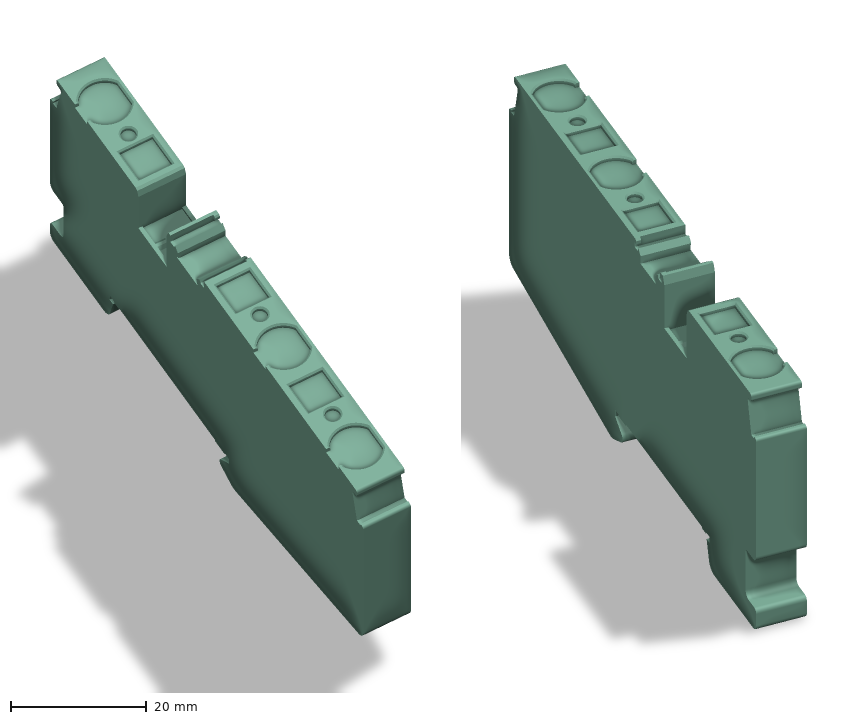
import cadquery as cq
length = 90.5
thickness = 8.1
height = 42.1

shoulder_z = 35.1
shoulder_width = 0.8
shoulder_radius = 0.45
ledge_z = 34.75
lip_inset = 1.8
lip_height = 1.4
lip_undercut_x = 3.3
lip_radius = 0.45

slot_left = 25.5
slot_right = 33.7
slot_floor_z = 32.85
slot_bevel_height = 1.4
slot_left_bevel = 0.8
slot_right_bevel = 0.5
crown_width = 0.45
crown_height = 0.3

groove_center = 39.6
groove_floor_z = 38.8
groove_half_width = 2.7
rebate_half_width = 4.9
rebate_z = 40.45
ridge_foot = 3.8
ridge_peak = 3.5
ridge_z = 41.1
wall_top_z = 40.2
relief_width = 0.3
relief_height = 1.1
relief_depth = 0.1
catch_depth = 0.5
catch_height = 0.8
catch_bevel = 0.3
catch_length = 0.8

notch_depth = 3.9
notch_bottom_z = 4.0
notch_top_z = 12.6
foot_right = 16.9
foot_tip = (18.2, 4.8)
heel_radius = 2.0
foot_radius = 1.1
toe_radius = 0.7
notch_floor_radius = 1.1
notch_roof_radius = 0.45
notch_edge_radius = 1.1

rail_left = 17.2
rail_right = 51.7
rail_z = 5.9
pad_z = 5.6
pad_inset = 1.3
left_pad_width = 1.4
right_pad_width = 2.7

nose_top_z = 4.7
nose_tip = (48.1, 2.1)
slope_start = (52.85, -0.1)
slope_end_z = 7.0
nose_radius = 0.9
slope_radius = 2.35
slope_end_radius = 1.8

clamp_inset = 9.0
clamp_pitch = 21.0
recess_depth = 0.8
rim_chamfer = 0.3
driver_radius = 4.0
driver_half_depth = 3.35
outlet_width = 3.5
test_offset = 6.8
test_radius = 1.2
wire_offset = 11.8
wire_side = 5.7

pocket_depth = 0.45
pocket_margin = 0.68
web_thickness = 0.5
gusset_length = 0.5
gusset_width = 1.9


def mirror_x(points, center):
    """Mirror a run of outline points and keep the direction of travel."""
    return [(2 * center - x, z) for x, z in reversed(points)]


def extrude_profile(points, y_start, y_end):
    """Solid with an X-Z outline spanning y_start to y_end."""
    plane = cq.Workplane("XZ", origin=(0, y_start, 0))
    return plane.polyline(points).close().extrude(y_start - y_end)


def make_body():
    """Full-thickness body: the side outline with its rounded corners."""
    left_end = [
        (0, notch_top_z),
        (0, shoulder_z),
        (shoulder_width, shoulder_z),
        (shoulder_width, ledge_z),
        (lip_inset, ledge_z),
        (lip_undercut_x, height - lip_height),
        (lip_inset, height - lip_height),
        (lip_inset, height),
    ]
    slot_crown_x = slot_left - slot_left_bevel
    slot = [
        (slot_crown_x, height),
        (slot_crown_x + crown_width, height - crown_height),
        (slot_left, height - slot_bevel_height),
        (slot_left, slot_floor_z),
        (slot_right, slot_floor_z),
        (slot_right, height - slot_bevel_height),
        (slot_right + slot_right_bevel, height),
    ]
    groove_left = [
        (groove_center - rebate_half_width, height),
        (groove_center - rebate_half_width, rebate_z),
        (groove_center - ridge_foot, rebate_z),
        (groove_center - ridge_peak, ridge_z),
        (groove_center - groove_half_width, wall_top_z),
        (groove_center - groove_half_width, groove_floor_z),
    ]
    right_end = mirror_x(left_end[1:], length / 2)
    underside = [
        (length, slope_end_z),
        slope_start,
        nose_tip,
        (rail_right, nose_top_z),
        (rail_right, rail_z),
        (rail_right - pad_inset, rail_z),
        (rail_right - pad_inset, pad_z),
        (rail_right - pad_inset - right_pad_width, pad_z),
        (rail_right - pad_inset - right_pad_width, rail_z),
        (rail_left + pad_inset + left_pad_width, rail_z),
        (rail_left + pad_inset + left_pad_width, pad_z),
        (rail_left + pad_inset, pad_z),
        (rail_left + pad_inset, rail_z),
        (rail_left, rail_z),
        (rail_left, foot_tip[1]),
        foot_tip,
        (foot_right, 0),
        (0, 0),
        (0, notch_bottom_z),
        (notch_depth, notch_bottom_z),
        (notch_depth, notch_top_z),
    ]
    outline = left_end + slot + groove_left + mirror_x(groove_left, groove_center)
    outline += right_end + underside
    body = extrude_profile(outline, 0, thickness)
    rounded_corners = [
        (slope_start, slope_radius),
        (nose_tip, nose_radius),
        ((length, slope_end_z), slope_end_radius),
        ((foot_right, 0), heel_radius),
        ((0, 0), foot_radius),
        ((0, notch_bottom_z), toe_radius),
        ((notch_depth, notch_bottom_z), notch_floor_radius),
        ((notch_depth, notch_top_z), notch_roof_radius),
        ((0, notch_top_z), notch_edge_radius),
        ((0, shoulder_z), shoulder_radius),
        ((length, shoulder_z), shoulder_radius),
    ]
    for corner_x in (lip_inset, length - lip_inset):
        rounded_corners.append(((corner_x, height), lip_radius))
        rounded_corners.append(((corner_x, height - lip_height), lip_radius))
    for corner_x in (lip_undercut_x, length - lip_undercut_x):
        rounded_corners.append(((corner_x, height - lip_height), lip_radius))
    for (x, z), radius in rounded_corners:
        corner = cq.selectors.NearestToPointSelector((x, thickness / 2, z))
        body = body.edges(corner).fillet(radius)
    return body


def with_mirror(solid, center):
    """The solid joined with its mirror image about the plane X = center."""
    return solid.union(solid.mirror("YZ", (center, 0, 0)))


def make_catches():
    """A small overhanging catch at the back of each groove rebate."""
    base_x = groove_center - rebate_half_width
    tip_x = base_x + catch_depth
    profile = [
        (base_x, height),
        (tip_x - catch_bevel, height),
        (tip_x, height - catch_bevel),
        (tip_x, height - catch_height),
        (base_x, height - catch_height),
    ]
    catch = extrude_profile(profile, thickness - catch_length, thickness)
    return with_mirror(catch, groove_center)


def make_wall_reliefs():
    """Shallow reliefs in the front face along both groove walls."""
    wall_x = groove_center - groove_half_width
    profile = [
        (wall_x, groove_floor_z),
        (wall_x, groove_floor_z + relief_height),
        (wall_x - relief_width, groove_floor_z + relief_height),
        (wall_x - relief_width, groove_floor_z),
    ]
    return with_mirror(extrude_profile(profile, 0, relief_depth), groove_center)


def recess_plane(x, depth):
    """Sketch plane centred across the thickness, depth below the top face."""
    return cq.Workplane("XY", origin=(x, thickness / 2, height - depth))


def chamfered_recess(recess):
    """Widen the mouth of a recess by a 45 degree rim."""
    mouth = recess.faces(">Z").wires().toPending().offset2D(rim_chamfer, "intersection")
    return recess.union(mouth.extrude(-rim_chamfer, taper=45))


def driver_recess(x):
    """Round recess with flattened front and back and an outlet to the front face."""
    plane = recess_plane(x, recess_depth)
    flats = plane.rect(2 * driver_radius, 2 * driver_half_depth).extrude(recess_depth)
    disc = plane.circle(driver_radius).extrude(recess_depth).intersect(flats)
    outlet = cq.Workplane("XY").box(
        outlet_width, thickness / 2, recess_depth, centered=(True, False, False)
    )
    return chamfered_recess(disc).union(outlet.translate((x, 0, height - recess_depth)))


def test_recess(x):
    return chamfered_recess(recess_plane(x, recess_depth).circle(test_radius).extrude(recess_depth))


def wire_recess(x):
    square = recess_plane(x, recess_depth).rect(wire_side, wire_side)
    return chamfered_recess(square.extrude(recess_depth))


def make_slot_pockets():
    """Two pockets either side of a thin web with four corner gussets."""
    pocket_floor_z = slot_floor_z - pocket_depth
    pocket_front = pocket_margin
    pocket_back = thickness - pocket_margin
    web_center = (slot_left + slot_right) / 2
    web_left = web_center - web_thickness / 2
    left = extrude_profile(
        [
            (slot_left, slot_floor_z),
            (web_left, slot_floor_z),
            (web_left, pocket_floor_z),
            (slot_left, pocket_floor_z),
        ],
        pocket_front,
        pocket_back,
    )
    gusset = [
        (web_left, slot_floor_z),
        (web_left, pocket_floor_z),
        (web_left - gusset_length, pocket_floor_z),
    ]
    left = left.cut(extrude_profile(gusset, pocket_front, pocket_front + gusset_width))
    left = left.cut(extrude_profile(gusset, pocket_back - gusset_width, pocket_back))
    return with_mirror(left, web_center)


last_clamp_x = length - clamp_inset
clamp_points = [(clamp_inset, 1), (last_clamp_x - clamp_pitch, -1), (last_clamp_x, -1)]

result = make_body().cut(make_wall_reliefs()).union(make_catches())
for clamp_x, side in clamp_points:
    result = result.cut(driver_recess(clamp_x))
    result = result.cut(test_recess(clamp_x + side * test_offset))
    result = result.cut(wire_recess(clamp_x + side * wire_offset))
result = result.cut(make_slot_pockets())